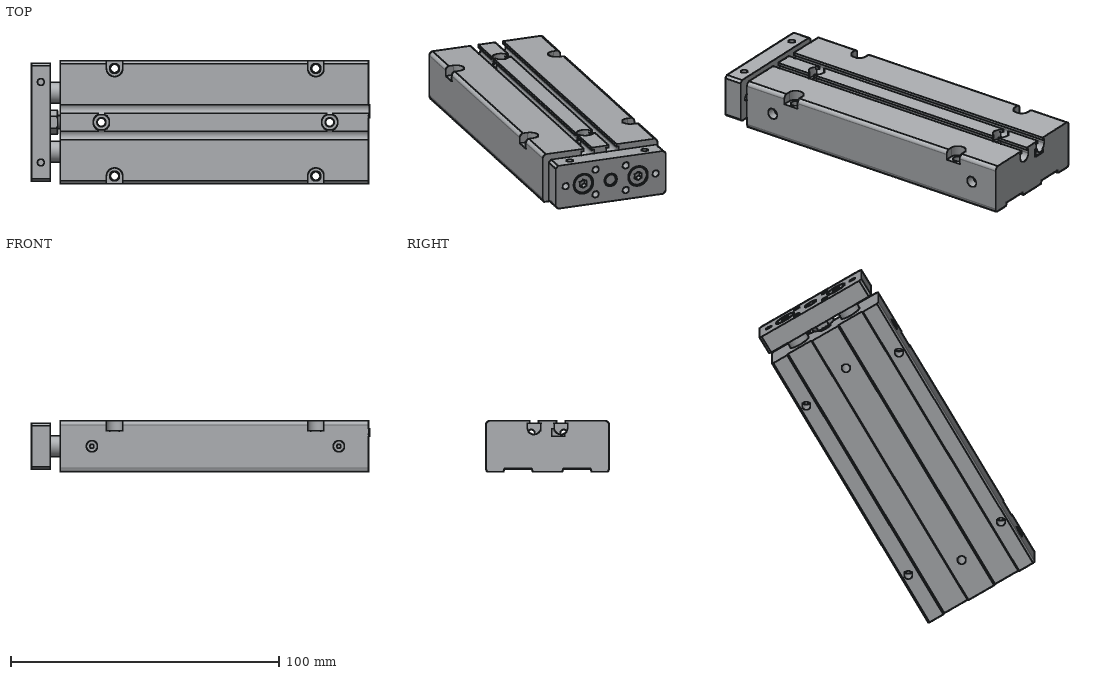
import cadquery as cq
import math

plate_thickness = 7.0
plate_width = 44.1
plate_height = 17.1
plate_chamfer = 1.0

guide_rod_diameter = 8.0
guide_rod_y = 11.0
hex_socket_across_corners = 3.3
hex_socket_depth = 2.5

piston_rod_diameter = 5.0

rod_ring_width = 0.44
rod_ring_depth = 0.5

nut_across_flats = 7.8
nut_thickness = 2.8
nut_chamfer = 0.4

plate_hole_diameter = 2.5
inner_hole_y = 6.0
inner_hole_z = 4.9
outer_hole_y = 18.0
top_hole_y = 15.0
top_hole_depth = 5.0

total_length = 126.0
housing_start = 10.7
housing_end = 125.6
housing_width = 46.0
housing_height = 19.0
top_edge_inset = 1.3
top_edge_drop = 1.5
top_edge_radius = 1.8
bottom_edge_inset = 0.6
bottom_edge_rise = 1.5

sensor_groove_y = 4.98
sensor_groove_width = 5.0
sensor_groove_wall_bottom = 6.9
sensor_lip_thickness = 1.0
sensor_slot_width = 3.2

recess_inner_y = 5.5
recess_outer_y = 16.4
recess_depth = 1.3
recess_wall_run = 0.44

counterbore_diameter = 6.0
counterbore_depth = 3.8
side_hole_x = (housing_start + 20.3, housing_start + 95.3)
side_hole_y = 20.0
side_hole_diameter = 3.7
side_hole_lower_diameter = 3.2
side_hole_step_depth = 9.5
middle_hole_x = (housing_start + 15.4, housing_start + 100.4)
middle_hole_diameter = 3.2
notch_width = 2.4

port_x = (housing_start + 11.8, housing_start + 103.8)
port_diameter = 4.2
port_depth = 3.8
port_bore_diameter = 1.5
port_bore_depth = 6.3

tab_y = (1.6, 6.4)
tab_z = (3.7, 6.5)

housing_length = housing_end - housing_start
housing_top = housing_height / 2
housing_bottom = -housing_top
plate_top = plate_height / 2


def x_cylinder(diameter, start, end, y=0.0, z=0.0):
    """Cylinder along X between two X positions."""
    return cq.Workplane("YZ", origin=(start, y, z)).circle(diameter / 2).extrude(end - start)


def down_cylinder(diameter, x, y, top, depth):
    """Cylinder going down from the height `top`."""
    return cq.Workplane("XY", origin=(x, y, top)).circle(diameter / 2).extrude(-depth)


def box(x_range, y_range, z_range):
    """Box given by its limits along the three axes."""
    size = [high - low for low, high in (x_range, y_range, z_range)]
    low_corner = (x_range[0], y_range[0], z_range[0])
    return cq.Workplane("XY", origin=low_corner).box(*size, centered=False)


def make_rod_ring(diameter, y):
    """V-shaped ring groove around a rod's end in the plate's outer face."""
    outer_radius = diameter / 2
    inner_radius = outer_radius - rod_ring_width
    return (
        cq.Workplane("XY", origin=(0, y, 0))
        .polyline([(0, inner_radius), (0, outer_radius), (rod_ring_depth, inner_radius)])
        .close()
        .revolve(360, (0, 0, 0), (1, 0, 0))
    )


def make_hex_socket(y):
    """Hexagon socket in a guide rod's end, with corners at its top and bottom."""
    return (
        cq.Workplane("YZ", origin=(0, y, 0))
        .transformed(rotate=(0, 0, 90))
        .polygon(6, hex_socket_across_corners)
        .extrude(hex_socket_depth)
    )


def make_nut():
    """Hexagon nut behind the plate, with its rear corners turned off."""
    across_corners = nut_across_flats / math.cos(math.radians(30))
    nut_end = plate_thickness + nut_thickness
    hexagon = (
        cq.Workplane("YZ", origin=(plate_thickness, 0, 0))
        .polygon(6, across_corners)
        .extrude(nut_thickness)
    )
    turned = x_cylinder(across_corners, plate_thickness, nut_end).faces(">X").chamfer(nut_chamfer)
    return hexagon.intersect(turned)


def make_slide():
    plate = (
        box((0, plate_thickness), (-plate_width / 2, plate_width / 2), (-plate_top, plate_top))
        .edges("|X").chamfer(plate_chamfer)
    )
    hole_spots = [(side * outer_hole_y, 0) for side in (-1, 1)]
    hole_spots += [(y * inner_hole_y, z * inner_hole_z) for y in (-1, 1) for z in (-1, 1)]
    for y, z in hole_spots:
        plate = plate.cut(x_cylinder(plate_hole_diameter, 0, plate_thickness, y, z))
    for side in (-1, 1):
        top_hole = down_cylinder(
            plate_hole_diameter, plate_thickness / 2, side * top_hole_y, plate_top, top_hole_depth
        )
        plate = plate.cut(top_hole)

    slide = plate.union(x_cylinder(piston_rod_diameter, 0, housing_start)).union(make_nut())
    slide = slide.cut(make_rod_ring(piston_rod_diameter, 0))
    for side in (-1, 1):
        y = side * guide_rod_y
        slide = slide.union(x_cylinder(guide_rod_diameter, 0, housing_start, y))
        slide = slide.cut(make_rod_ring(guide_rod_diameter, y)).cut(make_hex_socket(y))
    return slide


def make_sensor_groove(side):
    """Round-bottomed groove along the whole length, under a narrower slot in the top face."""
    y = side * sensor_groove_y
    half_groove = sensor_groove_width / 2
    half_slot = sensor_slot_width / 2
    lip_bottom = housing_top - sensor_lip_thickness
    return (
        cq.Workplane("YZ", origin=(housing_start, 0, 0))
        .moveTo(y - half_slot, housing_top)
        .lineTo(y - half_slot, lip_bottom)
        .lineTo(y - half_groove, lip_bottom)
        .lineTo(y - half_groove, sensor_groove_wall_bottom)
        .radiusArc((y + half_groove, sensor_groove_wall_bottom), -half_groove)
        .lineTo(y + half_groove, lip_bottom)
        .lineTo(y + half_slot, lip_bottom)
        .lineTo(y + half_slot, housing_top)
        .close()
        .extrude(total_length - housing_start)
    )


def make_bottom_recess(side):
    """Shallow channel along the bottom face with slanted walls."""
    roof = housing_bottom + recess_depth
    return (
        cq.Workplane("YZ", origin=(housing_start, 0, 0))
        .polyline([
            (side * recess_inner_y, housing_bottom),
            (side * (recess_inner_y + recess_wall_run), roof),
            (side * (recess_outer_y - recess_wall_run), roof),
            (side * recess_outer_y, housing_bottom),
        ])
        .close()
        .extrude(housing_length)
    )


def make_side_hole(x, side):
    """Stepped through hole whose counterbore is open to the housing side."""
    y = side * side_hole_y
    half_width = counterbore_diameter / 2
    wall_y = side * housing_width / 2
    opening = box(
        (x - half_width, x + half_width),
        (min(y, wall_y), max(y, wall_y)),
        (housing_top - counterbore_depth, housing_top),
    )
    return (
        down_cylinder(counterbore_diameter, x, y, housing_top, counterbore_depth)
        .union(opening)
        .union(down_cylinder(side_hole_diameter, x, y, housing_top, side_hole_step_depth))
        .union(down_cylinder(side_hole_lower_diameter, x, y, housing_top, housing_height))
    )


def make_middle_hole(x):
    """Counterbored through hole that opens through notched lips into both sensor grooves."""
    notch = box(
        (x - notch_width / 2, x + notch_width / 2),
        (-sensor_groove_y, sensor_groove_y),
        (sensor_groove_wall_bottom, housing_top),
    )
    return (
        down_cylinder(counterbore_diameter, x, 0, housing_top, counterbore_depth)
        .union(notch)
        .union(down_cylinder(middle_hole_diameter, x, 0, housing_top, housing_height))
    )


def make_port(x):
    """Air port in the -Y side with a small bore at its bottom."""
    face = cq.Workplane("XZ", origin=(x, -housing_width / 2, 0))
    port = face.circle(port_diameter / 2).extrude(-port_depth)
    return port.union(face.circle(port_bore_diameter / 2).extrude(-port_bore_depth))


def make_housing_block():
    """Extruded block with rounded long edges; the bottom rounding is tangent to the sides."""
    half_width = housing_width / 2
    bottom_radius = (bottom_edge_rise**2 + bottom_edge_inset**2) / (2 * bottom_edge_inset)
    return (
        cq.Workplane("YZ", origin=(housing_start, 0, 0))
        .moveTo(-half_width + bottom_edge_inset, housing_bottom)
        .lineTo(half_width - bottom_edge_inset, housing_bottom)
        .radiusArc((half_width, housing_bottom + bottom_edge_rise), -bottom_radius)
        .lineTo(half_width, housing_top - top_edge_drop)
        .radiusArc((half_width - top_edge_inset, housing_top), -top_edge_radius)
        .lineTo(-half_width + top_edge_inset, housing_top)
        .radiusArc((-half_width, housing_top - top_edge_drop), -top_edge_radius)
        .lineTo(-half_width, housing_bottom + bottom_edge_rise)
        .radiusArc((-half_width + bottom_edge_inset, housing_bottom), -bottom_radius)
        .close()
        .extrude(housing_length)
    )


def make_housing():
    housing = make_housing_block().union(box((housing_end, total_length), tab_y, tab_z))
    for side in (-1, 1):
        housing = housing.cut(make_sensor_groove(side)).cut(make_bottom_recess(side))
        for x in side_hole_x:
            housing = housing.cut(make_side_hole(x, side))
    for x in middle_hole_x:
        housing = housing.cut(make_middle_hole(x))
    for x in port_x:
        housing = housing.cut(make_port(x))
    return housing


slide = make_slide()
housing = make_housing()
result = cq.Compound.makeCompound([slide.val(), housing.val()])